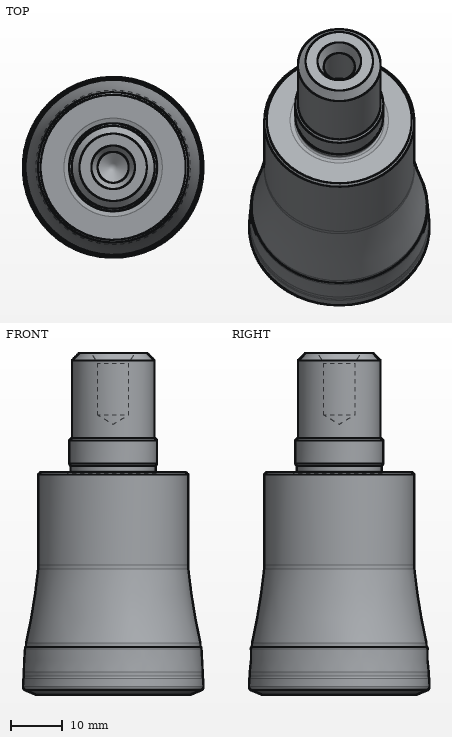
import cadquery as cq
import math


overall_height = 66.0
joint_z = 9.2
flare_bottom_z = 10.0
flare_top_z = 24.25
blend_top_z = 25.05
shoulder_z = 43.0
collar_bottom_z = 44.6
collar_top_z = 49.6

joint_radius = 33.8 / 2
flare_bottom_radius = 16.86
flare_top_radius = 14.53
barrel_radius = 29.0 / 2
collar_radius = 17.0 / 2
relief_radius = 16.5 / 2
spigot_radius = 16.0 / 2

flare_sag = 0.22
barrel_chamfer = 0.5
spigot_chamfer = 1.5
collar_chamfer = collar_radius - spigot_radius
relief_slope_height = 0.4
undercut_depth = 0.2
undercut_radius = 19.0 / 2
relief_fillet = 0.4

hole_radius = 6.0 / 2
hole_depth = 12.0
hole_point_angle = 118.0
countersink_radius = 8.4 / 2
countersink_angle = 60.0

head_radius = 17.455
head_taper = 3.0
head_fillet = 0.4
head_fillet_inset = 0.04
widest_z = 1.57
band_top_z = 4.4
band_bottom_z = 3.6
band_step_z = 3.2
corner_bulge_inset = 0.07
corner_end = (17.15, 0.95)
underside_break = (16.2, 0.55)
underside_step = (15.3, 0.16)
base_radius = 14.9


def taper_radius(z):
    """Radius of the tapered head flank at height z."""
    return head_radius - (z - widest_z) * math.tan(math.radians(head_taper))


def revolve_profile(profile):
    """Close a radius-height profile and turn it about the Z axis."""
    return profile.close().revolve(360, (0, 0, 0), (0, 1, 0))


def make_cutting_head():
    corner_bulge = (head_radius - corner_bulge_inset, (widest_z + corner_end[1]) / 2)
    fillet_bottom_z = joint_z - head_fillet
    fillet_bottom_radius = taper_radius(fillet_bottom_z)
    fillet_bulge = (fillet_bottom_radius - head_fillet_inset, joint_z - head_fillet / 3)
    profile = (
        cq.Workplane("XZ")
        .moveTo(0, 0)
        .lineTo(base_radius, 0)
        .lineTo(*underside_step)
        .lineTo(*underside_break)
        .lineTo(*corner_end)
        .threePointArc(corner_bulge, (head_radius, widest_z))
        .lineTo(taper_radius(band_step_z), band_step_z)
        .lineTo(taper_radius(band_top_z), band_bottom_z)
        .lineTo(taper_radius(band_top_z), band_top_z)
        .lineTo(fillet_bottom_radius, fillet_bottom_z)
        .threePointArc(fillet_bulge, (joint_radius, joint_z))
        .lineTo(0, joint_z)
    )
    return revolve_profile(profile)


def make_holder():
    undercut_z = shoulder_z - undercut_depth
    fillet_inset = relief_fillet * (1 - math.sqrt(0.5))
    flare_middle = (
        (flare_bottom_radius + flare_top_radius) / 2 - flare_sag,
        (flare_bottom_z + flare_top_z) / 2,
    )
    profile = (
        cq.Workplane("XZ")
        .moveTo(0, joint_z)
        .lineTo(joint_radius, joint_z)
        .lineTo(flare_bottom_radius, flare_bottom_z)
        .threePointArc(flare_middle, (flare_top_radius, flare_top_z))
        .lineTo(barrel_radius, blend_top_z)
        .lineTo(barrel_radius, shoulder_z - barrel_chamfer)
        .lineTo(barrel_radius - barrel_chamfer, shoulder_z)
        .lineTo(undercut_radius, shoulder_z)
        .lineTo(relief_radius + relief_fillet, undercut_z)
        .threePointArc(
            (relief_radius + fillet_inset, undercut_z + fillet_inset),
            (relief_radius, undercut_z + relief_fillet),
        )
        .lineTo(relief_radius, collar_bottom_z - relief_slope_height)
        .lineTo(collar_radius, collar_bottom_z)
        .lineTo(collar_radius, collar_top_z - collar_chamfer)
        .lineTo(spigot_radius, collar_top_z)
        .lineTo(spigot_radius, overall_height - spigot_chamfer)
        .lineTo(spigot_radius - spigot_chamfer, overall_height)
        .lineTo(0, overall_height)
    )
    return revolve_profile(profile).cut(make_centre_hole())


def make_centre_hole():
    countersink_slope = math.tan(math.radians(countersink_angle / 2))
    countersink_depth = (countersink_radius - hole_radius) / countersink_slope
    point_depth = hole_radius / math.tan(math.radians(hole_point_angle / 2))
    wall_end_z = overall_height - hole_depth
    profile = (
        cq.Workplane("XZ")
        .moveTo(0, overall_height)
        .lineTo(countersink_radius, overall_height)
        .lineTo(hole_radius, overall_height - countersink_depth)
        .lineTo(hole_radius, wall_end_z)
        .lineTo(0, wall_end_z - point_depth)
    )
    return revolve_profile(profile)


cutting_head = make_cutting_head()
holder = make_holder()

result = cq.Compound.makeCompound([cutting_head.val(), holder.val()])